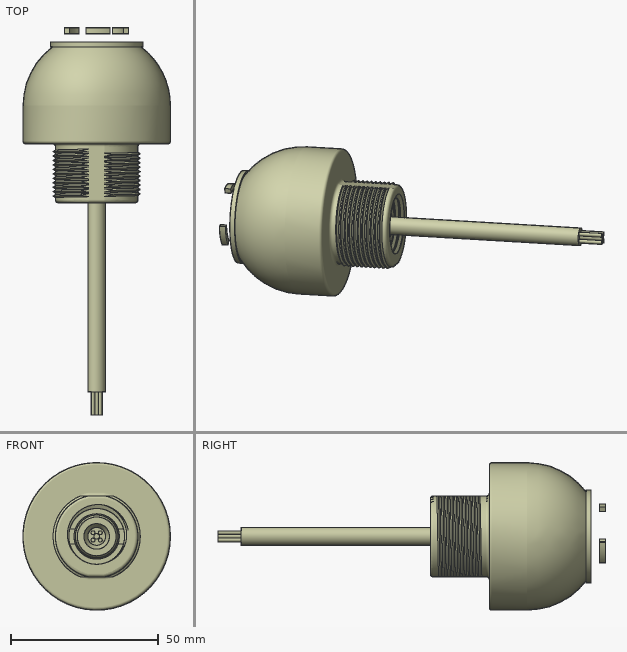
import cadquery as cq
import math


head_radius = 25.02
dome_base_y = 12.9
disc_radius = 15.8
disc_base_y = 32.8
disc_end_y = 34.5
rear_edge_fillet = 0.9

neck_radius = 13.99
neck_length = 20.0
flat_height = 13.73
neck_end_fillet = 0.99
neck_root_fillet = 0.99
root_tolerance = 0.1

thread_pitch = 1.51
thread_turns = 10.5
thread_start = 2.2
thread_start_angle = 90.0
thread_height = 0.8
thread_root_width = 1.3
thread_embed = 0.2

bore_radius = 9.5
bore_depth = 7.9
bore_thread_pitch = 1.8
bore_thread_turns = 4
bore_thread_depth = 1.5
bore_thread_start_angle = -25.0
bore_thread_width = 1.7
bore_thread_overlap = 0.2
notch_half_height = 2.5
notch_depth = 1.3

boss_radius = 7.68
boss_shoulder_radius = 7.2
boss_face_radius = 6.6
boss_height = 5.3
boss_chamfer_length = 1.3
funnel_radius = 4.3
funnel_depth = 2.6

jacket_radius = 3.0
jacket_end_y = -84.0
cable_end_y = -92.0
core_radius = 0.95
wire_radius = 0.7
wire_offset = 1.25

indicator_outer_radius = 11.0
indicator_inner_radius = 9.2
indicator_span = 44.0
indicator_count = 3
first_indicator_angle = 87.5
indicator_start_y = 37.3
indicator_end_y = 39.4

bore_floor_y = bore_depth - neck_length
boss_face_y = bore_floor_y - boss_height
funnel_end_y = boss_face_y + funnel_depth


def xz_plane(y):
    """Workplane at height y whose normal points to -Y."""
    return cq.Workplane("XZ", origin=(0, y, 0))


def helical_ridge(base_radius, tip_radius, width, pitch, turns, start_depth, start_angle):
    """Triangular helical solid around Y, advancing toward -Y."""
    path = cq.Workplane(cq.Wire.makeHelix(pitch, pitch * turns, base_radius))
    profile = cq.Workplane("XZ").polyline(
        [(base_radius, -width / 2), (tip_radius, 0), (base_radius, width / 2)]
    ).close()
    ridge = profile.sweep(path, isFrenet=True)
    ridge = ridge.rotate((0, 0, 0), (0, 0, 1), start_angle)
    ridge = ridge.rotate((0, 0, 0), (1, 0, 0), 90)
    return ridge.translate((0, -start_depth, 0))


def make_head():
    dome_height = disc_base_y - dome_base_y
    rim_radius = math.sqrt(head_radius**2 - dome_height**2)
    mid_angle = math.asin(dome_height / head_radius) / 2
    dome_middle = (
        head_radius * math.cos(mid_angle),
        dome_base_y + head_radius * math.sin(mid_angle),
    )
    profile = (
        cq.Workplane("XY")
        .moveTo(0, 0)
        .lineTo(head_radius, 0)
        .lineTo(head_radius, dome_base_y)
        .threePointArc(dome_middle, (rim_radius, disc_base_y))
        .lineTo(disc_radius, disc_base_y)
        .lineTo(disc_radius, disc_end_y)
        .lineTo(0, disc_end_y)
        .close()
    )
    head = profile.revolve(360, (0, 0, 0), (0, 1, 0))
    return head.faces("<Y").edges().fillet(rear_edge_fillet)


def make_flat_slab():
    """Slab between the two flats, larger than the neck in X and Y."""
    return cq.Workplane("XY").box(4 * neck_radius, 4 * neck_length, 2 * flat_height)


def make_neck():
    """Unthreaded neck with flats at its top and bottom and a rounded end."""
    neck = xz_plane(0).circle(neck_radius).extrude(neck_length)
    return neck.intersect(make_flat_slab()).faces("<Y").edges().fillet(neck_end_fillet)


def make_thread():
    """Helical ridge, cut off level with the flats of the neck."""
    ridge = helical_ridge(
        neck_radius - thread_embed,
        neck_radius + thread_height,
        thread_root_width,
        thread_pitch,
        thread_turns,
        thread_start,
        thread_start_angle,
    )
    return ridge.intersect(make_flat_slab())


def make_bore():
    """Threaded bore with two floor notches."""
    bore = xz_plane(-neck_length).circle(bore_radius).extrude(-bore_depth)
    groove = helical_ridge(
        bore_radius - bore_thread_overlap,
        bore_radius + bore_thread_depth,
        bore_thread_width,
        bore_thread_pitch,
        bore_thread_turns,
        neck_length - bore_depth + bore_thread_pitch,
        bore_thread_start_angle,
    )
    bore = bore.union(groove)
    floor = xz_plane(bore_floor_y)
    notches = floor.rect(2 * bore_radius, 2 * notch_half_height).extrude(-notch_depth)
    notches = notches.intersect(floor.circle(bore_radius).extrude(-notch_depth))
    notches = notches.cut(floor.circle(boss_radius).extrude(-notch_depth))
    return bore.union(notches)


def make_boss():
    profile = (
        cq.Workplane("XY")
        .moveTo(0, bore_floor_y)
        .lineTo(boss_radius, bore_floor_y)
        .lineTo(boss_shoulder_radius, boss_face_y + boss_chamfer_length)
        .lineTo(boss_face_radius, boss_face_y)
        .lineTo(funnel_radius, boss_face_y)
        .lineTo(jacket_radius, funnel_end_y)
        .lineTo(0, funnel_end_y)
        .close()
    )
    return profile.revolve(360, (0, 0, 0), (0, 1, 0))


def make_housing():
    """Head and neck in one piece, with both threads, the bore and the cable boss."""
    body = make_head().union(make_neck())
    root_reach = neck_radius + root_tolerance
    root_corner = cq.Vector(root_reach, root_tolerance, root_reach)
    root_edges = cq.selectors.BoxSelector(
        (root_corner * -1).toTuple(), root_corner.toTuple(), boundingbox=True
    )
    body = body.edges(root_edges).fillet(neck_root_fillet)
    return body.union(make_thread()).cut(make_bore()).union(make_boss())


def make_cable():
    jacket = xz_plane(funnel_end_y).circle(jacket_radius).extrude(funnel_end_y - jacket_end_y)
    wire_length = jacket_end_y - cable_end_y
    core = xz_plane(jacket_end_y).circle(core_radius).extrude(wire_length)
    wires = (
        xz_plane(jacket_end_y)
        .rect(2 * wire_offset, 2 * wire_offset, forConstruction=True)
        .vertices()
        .circle(wire_radius)
        .extrude(wire_length)
    )
    return jacket.union(core).union(wires)


def arc_point(radius, angle):
    return (radius * math.cos(math.radians(angle)), radius * math.sin(math.radians(angle)))


def make_indicator(angle):
    start = angle - indicator_span / 2
    end = angle + indicator_span / 2
    return (
        xz_plane(indicator_end_y)
        .moveTo(*arc_point(indicator_outer_radius, start))
        .threePointArc(arc_point(indicator_outer_radius, angle), arc_point(indicator_outer_radius, end))
        .lineTo(*arc_point(indicator_inner_radius, end))
        .threePointArc(arc_point(indicator_inner_radius, angle), arc_point(indicator_inner_radius, start))
        .close()
        .extrude(indicator_end_y - indicator_start_y)
    )


housing = make_housing()
cable = make_cable()
indicators = [
    make_indicator(first_indicator_angle + i * 360 / indicator_count)
    for i in range(indicator_count)
]

result = cq.Compound.makeCompound(
    [housing.val(), cable.val(), *[indicator.val() for indicator in indicators]]
)